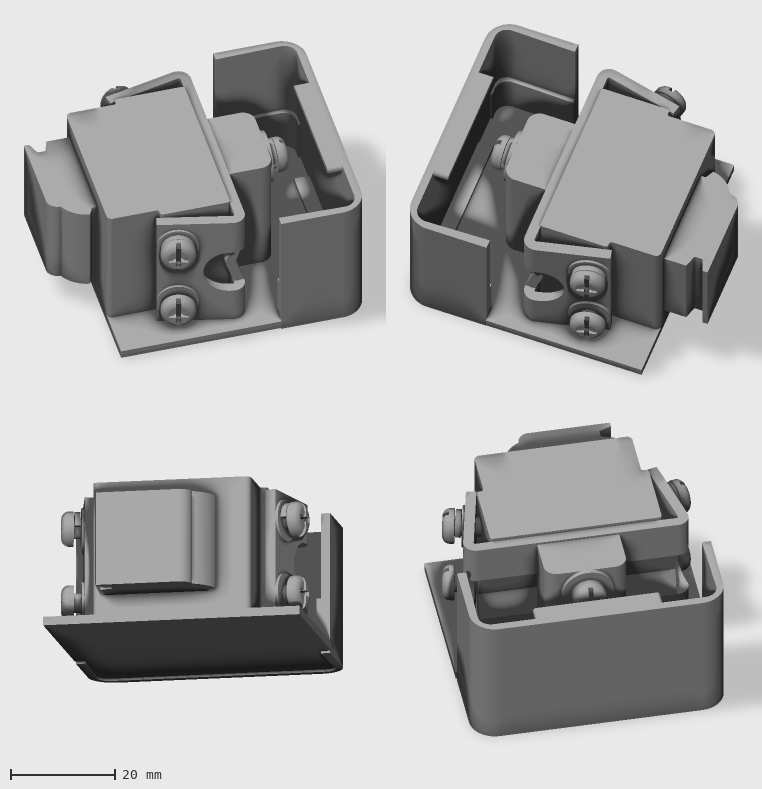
import cadquery as cq
import math


select_margin = 0.05
overall_depth = 58.0

plate_width = 50.0
plate_thickness = 1.7
block_height = 27.55
block_wide_half = 16.75
block_narrow_half = 15.35
ledge_y = 10.1
block_front_radius = 1.05
block_small_radius = 0.5

latch_bottom = 5.4
latch_top = 23.55
latch_left = -12.95
latch_neck_x = 7.25
latch_nose_x = 8.95
latch_tip_y = -8.95
latch_notch_x = -10.45
latch_notch_mouth = (-4.5, -7.9)
latch_notch_floor = (-5.35, -6.9)
latch_tip_arc_start = 3.4
latch_tip_arc_mid = (4.75, -8.2)
latch_groove = (5.35, -6.6)
latch_nose_arc_mid = (7.9, -4.45)
latch_nose_arc_end = -2.0
latch_nose_end = -1.8
latch_neck_y = -0.9

boss_half_width = 8.0
boss_rear = 35.0
boss_top = 26.4
boss_radius = 2.5

clip_thickness = 2.05
clip_rear = 26.0
clip_top = 26.85
clip_corner_half = 22.55
clip_bend_radius = 2.45
clip_inner_radius = 0.35
leg_angle = 13.0
leg_length = 17.65
clip_inside = clip_rear - clip_thickness

rib_mid_z = 14.1
rib_half_height = 5.0
rib_depth = 1.7
rib_half_length = 19.25
rib_tip_radius = 2.6
notch_centre_y = 22.5

shell_half_width = 24.75
shell_front = 31.85
shell_top = 27.0
shell_radius = 5.0
shell_wall = 1.6
cavity_half_rear = 23.3
cavity_half_front = 22.95
cavity_radius = 2.55
skirt_height = 0.45
skirt_flare = 2.0
shell_rear = overall_depth + latch_tip_y - skirt_height * math.tan(math.radians(skirt_flare))
cavity_rear = shell_rear - shell_wall

lip_half_width = 12.4
lip_depth = 3.0
lip_thickness = 1.0
lip_edge_radius = 0.7

corner_rib_side = 0.85
corner_rib_back = 0.4
corner_rib_top = 10.3
corner_rib_end = 18.3

shank_radius = 1.85
shank_length = 5.2
spring_radius = 3.3
spring_height = 1.1
side_head_gap = 1.5
rear_head_gap = 1.35
head_radius = 3.4
head_side_height = 0.8
head_height = 2.3
head_flat_radius = 2.15
slot_width = 1.0
slot_depth = 1.3
cross_length = 3.8
cross_depth = 2.0
side_washer_radius = 4.05
side_washer_thickness = 0.5
rear_washer_radius = 5.05
rear_washer_thickness = 0.85
lower_screw_z = 6.95
upper_screw_z = 21.45
screw_along_leg = 13.6


def mirrored(half_outline):
    """Complete a closed outline from the points of its +X half."""
    return half_outline + [(-x, y) for x, y in reversed(half_outline)]


def box_between(x_range, y_range, z_range):
    size = [high - low for low, high in (x_range, y_range, z_range)]
    corner = (x_range[0], y_range[0], z_range[0])
    return cq.Workplane("XY").box(*size, centered=False).translate(corner)



def cavity(bottom, top, side_offset=0.0, back_offset=0.0):
    """Space between the shell walls, made smaller by the given offsets."""
    outline = mirrored([
        (cavity_half_front - side_offset, shell_front),
        (cavity_half_rear - side_offset, cavity_rear - back_offset),
    ])
    body = cq.Workplane("XY").workplane(offset=bottom).polyline(outline).close().extrude(top - bottom)
    return body.edges("|Z and >Y").fillet(cavity_radius)


def shell_outline(z):
    sketch = (
        cq.Sketch()
        .polygon([
            (shell_half_width, shell_front),
            (shell_half_width, shell_rear),
            (-shell_half_width, shell_rear),
            (-shell_half_width, shell_front),
            (shell_half_width, shell_front),
        ])
        .vertices(">Y").fillet(shell_radius)
    )
    return cq.Workplane("XY").workplane(offset=z).placeSketch(sketch)


def lip(bottom):
    """Tab that points forward from the middle of the back wall."""
    overlap = shell_wall / 2
    body = box_between(
        (-lip_half_width, lip_half_width),
        (cavity_rear - lip_depth, cavity_rear + overlap),
        (bottom, bottom + lip_thickness),
    )
    return body.edges("|Y and >Z").fillet(lip_edge_radius)


def make_shell():
    walls = shell_outline(0).extrude(shell_top)
    skirt = shell_outline(0).extrude(-skirt_height, taper=-skirt_flare)
    body = walls.union(skirt).cut(cavity(-skirt_height, shell_top))
    flare_gap = box_between(
        (-cavity_half_front, cavity_half_front),
        (shell_front - skirt_height, shell_front),
        (-skirt_height, 0),
    )
    body = body.cut(flare_gap)
    return body.union(lip(shell_top - lip_thickness)).union(lip(plate_thickness))



def clip_half_outline():
    lean = math.radians(leg_angle)
    outer_end = (
        clip_corner_half - leg_length * math.sin(lean),
        clip_rear - leg_length * math.cos(lean),
    )
    inner_end = (
        outer_end[0] - clip_thickness * math.cos(lean),
        outer_end[1] + clip_thickness * math.sin(lean),
    )
    inner_corner_x = clip_corner_half - clip_thickness / math.cos(lean) - clip_thickness * math.tan(lean)
    return [(clip_corner_half, clip_rear), outer_end, inner_end, (inner_corner_x, clip_inside)]


def clip_rib():
    low = rib_mid_z - rib_half_height
    high = rib_mid_z + rib_half_height
    tip_y = clip_inside - rib_depth
    body = (
        cq.Workplane("YZ", origin=(-rib_half_length, 0, 0))
        .polyline([
            (clip_rear, low),
            (tip_y + clip_thickness, rib_mid_z),
            (clip_rear, high),
            (clip_inside, high),
            (tip_y, rib_mid_z),
            (clip_inside, low),
        ])
        .close()
        .extrude(2 * rib_half_length)
    )
    return body.edges("|X and <Y").fillet(rib_tip_radius)


def make_clip(block):
    body = (
        cq.Workplane("XY", origin=(0, 0, plate_thickness))
        .polyline(mirrored(clip_half_outline()))
        .close()
        .extrude(clip_top - plate_thickness)
    )
    body = body.edges("|Z and >Y").fillet(clip_bend_radius)
    inner_corners = cq.selectors.BoxSelector(
        (-clip_corner_half, clip_inside - select_margin, 0),
        (clip_corner_half, clip_inside + select_margin, clip_top),
    )
    body = body.edges("|Z").edges(inner_corners).fillet(clip_inner_radius)
    notch = (
        cq.Workplane("YZ", origin=(-clip_corner_half, 0, 0))
        .moveTo(clip_rear, rib_mid_z - rib_half_height)
        .lineTo(notch_centre_y, rib_mid_z - rib_half_height)
        .threePointArc(
            (notch_centre_y - rib_half_height, rib_mid_z),
            (notch_centre_y, rib_mid_z + rib_half_height),
        )
        .lineTo(clip_rear, rib_mid_z + rib_half_height)
        .close()
        .extrude(2 * clip_corner_half)
    )
    return body.cut(notch).cut(block).union(clip_rib())



def make_block():
    ledge_corners = cq.selectors.BoxSelector(
        (-block_wide_half - select_margin, ledge_y - select_margin, -select_margin),
        (block_wide_half + select_margin, ledge_y + select_margin, select_margin),
    )
    half = [
        (block_narrow_half, 0),
        (block_narrow_half, ledge_y),
        (block_wide_half, ledge_y),
        (block_wide_half, clip_inside),
    ]
    outline = mirrored(half)
    sketch = (
        cq.Sketch()
        .polygon(outline + outline[:1])
        .vertices(ledge_corners).fillet(block_small_radius).reset()
        .vertices(">Y").fillet(block_small_radius).reset()
        .vertices("<Y").fillet(block_front_radius)
    )
    return cq.Workplane("XY").placeSketch(sketch).extrude(block_height)


def make_latch():
    return (
        cq.Workplane("XY", origin=(0, 0, latch_bottom))
        .moveTo(latch_left, 0)
        .lineTo(latch_left, latch_notch_mouth[0])
        .lineTo(latch_notch_x, latch_notch_floor[0])
        .lineTo(latch_notch_x, latch_notch_floor[1])
        .lineTo(latch_left, latch_notch_mouth[1])
        .lineTo(latch_left, latch_tip_y)
        .lineTo(latch_tip_arc_start, latch_tip_y)
        .threePointArc(latch_tip_arc_mid, latch_groove)
        .threePointArc(latch_nose_arc_mid, (latch_nose_x, latch_nose_arc_end))
        .lineTo(latch_nose_x, latch_nose_end)
        .lineTo(latch_neck_x, latch_neck_y)
        .lineTo(latch_neck_x, 0)
        .close()
        .extrude(latch_top - latch_bottom)
    )


def make_base_plate():
    front = box_between(
        (-plate_width / 2, plate_width / 2), (0, shell_front), (0, plate_thickness))
    return front.union(cavity(0, plate_thickness))


def make_corner_ribs():
    """Thin upright ribs that line the shell walls at both rear corners."""
    ribs = cavity(0, corner_rib_top).cut(
        cavity(0, corner_rib_top, corner_rib_side, corner_rib_back))
    gap = box_between(
        (-corner_rib_end, corner_rib_end), (shell_front, shell_rear), (0, corner_rib_top))
    return ribs.cut(gap)


def make_boss():
    body = box_between(
        (-boss_half_width, boss_half_width), (clip_rear, boss_rear), (0, boss_top))
    return body.edges("|Z and >Y").fillet(boss_radius)


def make_housing(block):
    body = block
    for part in (make_base_plate(), make_corner_ribs(), make_latch(), make_boss()):
        body = body.union(part)
    return body.cut(clip_rib())



def raised(plane, height):
    return cq.Workplane(plane).workplane(offset=height)


def make_shank(plane):
    return cq.Workplane(plane).circle(shank_radius).extrude(-shank_length)


def make_head(plane):
    """Rounded head with a slot along the local X axis and a cross recess."""
    shoulder_radius = 3.0
    shoulder_height = 1.85
    profile = (
        cq.Workplane("XZ")
        .lineTo(head_radius, 0)
        .lineTo(head_radius, head_side_height)
        .threePointArc((shoulder_radius, shoulder_height), (head_flat_radius, head_height))
        .lineTo(0, head_height)
        .close()
    )
    head = profile.revolve(360, (0, 0, 0), (0, 1, 0))
    top = cq.Workplane("XY", origin=(0, 0, head_height))
    slot = top.rect(2 * head_radius, slot_width).extrude(-slot_depth)
    recess = top.rect(cross_length, slot_width).extrude(-cross_depth)
    recess = recess.union(top.rect(slot_width, cross_length).extrude(-cross_depth))
    return cq.Workplane(head.cut(slot).cut(recess).val().moved(cq.Location(plane)))


def make_screw(plane, washer_radius, washer_thickness, head_gap, has_spring):
    """Screw with its washer; the plane lies on the clamped face and its normal points outwards."""
    head_base = washer_thickness + head_gap
    body = make_shank(plane)
    body = body.union(cq.Workplane(plane).circle(washer_radius).extrude(washer_thickness))
    body = body.union(cq.Workplane(plane).circle(shank_radius).extrude(head_base))
    if has_spring:
        spring = (
            raised(plane, washer_thickness + (head_gap - spring_height) / 2)
            .moveTo(0, -spring_radius)
            .threePointArc((spring_radius, 0), (0, spring_radius))
            .close()
            .extrude(spring_height)
        )
        body = body.union(spring)
    head_plane = cq.Plane(raised(plane, head_base).plane.origin, plane.xDir, plane.zDir)
    return body.union(make_head(head_plane))


def side_screw_plane(side, z):
    """Plane on the outer face of one clip leg; side is -1 or 1."""
    lean = math.radians(leg_angle)
    origin = (
        side * (clip_corner_half - screw_along_leg * math.sin(lean)),
        clip_rear - screw_along_leg * math.cos(lean),
        z,
    )
    normal = (side * math.cos(lean), -math.sin(lean), 0)
    return cq.Plane(origin, (0, 0, 1), normal)



block = make_block()
shell = make_shell()
clip = make_clip(block)
housing = make_housing(block)

rear_plane = cq.Plane((0, boss_rear, upper_screw_z), (0, 0, 1), (0, 1, 0))
rear_screw = make_screw(rear_plane, rear_washer_radius, rear_washer_thickness, rear_head_gap, True)
housing = housing.cut(make_shank(rear_plane))

side_screws = []
for side in (-1, 1):
    for z in (lower_screw_z, upper_screw_z):
        plane = side_screw_plane(side, z)
        has_spring = z == upper_screw_z
        side_screws.append(make_screw(
            plane, side_washer_radius, side_washer_thickness, side_head_gap, has_spring))
        clip = clip.cut(make_shank(plane))
        housing = housing.cut(make_shank(plane))

result = cq.Compound.makeCompound(
    [housing.val(), shell.val(), clip.val(), rear_screw.val()] + [screw.val() for screw in side_screws]
)